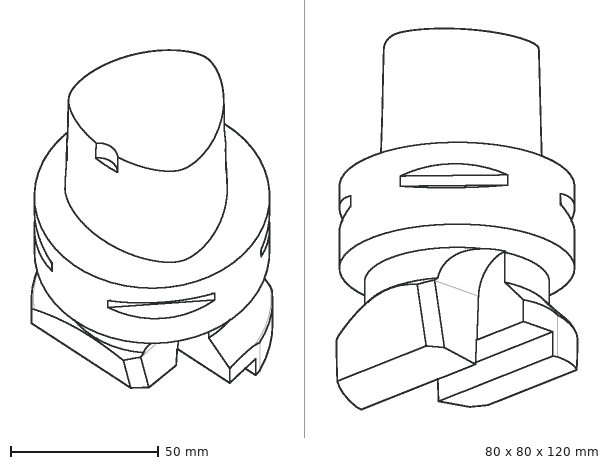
import cadquery as cq
import math

total_height = 120.0
flange_top = 72.0
flange_bottom = 42.0
neck_top = 37.0
neck_bottom = 26.0
cutter_shoulder = 16.9
cutter_rim = 15.7

flange_radius = 80.0 / 2
neck_radius = 31.5
shoulder_radius = 40.5
cutter_radius = 41.0

shank_mean_radius = 27.6
shank_lobe = 2.3
shank_taper = 1 / 40
outline_steps = 48
notch_radius = 6.6
notch_centre = 28.5
notch_depth = 8.0

groove_z = 59.8
groove_length = 36.5
groove_floor_height = 3.7
groove_flare_angle = 30.0
groove_overlap = 1.2

side_face_offset = 25.5
side_face_angle = 13.9
corner_chamfer = 4.3
end_face_angle = 7.9
slot_width = 13.9
slot_depth = 8.9
gullet_face = 6.7
gullet_wall = 16.5
gullet_wall_angle = 2.8
gullet_top = 37.2
gullet_radius = 13.1

corner_overlap = 6.0
clearance = 72.0


def make_body():
    """Flange, neck and flared cutting end, trimmed flat at the two tooth tips."""
    profile = [
        (0, 0),
        (cutter_radius, 0),
        (cutter_radius, cutter_rim),
        (shoulder_radius, cutter_shoulder),
        (neck_radius, neck_bottom),
        (neck_radius, neck_top),
        (flange_radius, flange_bottom),
        (flange_radius, flange_top),
        (0, flange_top),
    ]
    body = cq.Workplane("XZ").polyline(profile).close().revolve(360, (0, 0), (0, 1))
    trim = cq.Workplane("XY").box(2 * flange_radius, 2 * clearance, flange_top, centered=(True, True, False))
    return body.intersect(trim)


def shank_outline(mean_radius):
    """Return points on a rounded triangle with one lobe toward +Y."""
    points = []
    for step in range(outline_steps):
        angle = 2 * math.pi * step / outline_steps
        x = (mean_radius * math.sin(angle)
             - 2 * shank_lobe * math.sin(2 * angle)
             - shank_lobe * math.sin(4 * angle))
        y = (mean_radius * math.cos(angle)
             + 2 * shank_lobe * math.cos(2 * angle)
             - shank_lobe * math.cos(4 * angle))
        points.append((x, y))
    return points


def make_shank():
    """Tapered three-lobed shank with a rounded locating notch at its end."""
    length = total_height - flange_top
    top_radius = shank_mean_radius - length * shank_taper
    shank = (
        cq.Workplane("XY", origin=(0, 0, flange_top))
        .spline(shank_outline(shank_mean_radius), periodic=True)
        .close()
        .workplane(offset=length)
        .spline(shank_outline(top_radius), periodic=True)
        .close()
        .loft(ruled=True)
    )
    notch = (
        cq.Workplane("XY", origin=(0, -notch_centre, total_height - notch_depth))
        .circle(notch_radius)
        .extrude(notch_depth)
    )
    return shank.cut(notch)


def gripper_groove():
    """Straight V-sided groove lying across the +X side of the flange."""
    half_length = groove_length / 2
    floor_x = math.sqrt(flange_radius**2 - half_length**2)
    mouth_x = flange_radius + groove_overlap
    half_floor = groove_floor_height / 2
    half_mouth = half_floor + (mouth_x - floor_x) * math.tan(math.radians(groove_flare_angle))
    section = [
        (floor_x, groove_z - half_floor),
        (mouth_x, groove_z - half_mouth),
        (mouth_x, groove_z + half_mouth),
        (floor_x, groove_z + half_floor),
    ]
    return cq.Workplane("XZ").polyline(section).close().extrude(half_length, both=True)


def side_face_cut():
    """Waste outside the inclined face on the -Y side."""
    top_y = side_face_offset + neck_bottom * math.tan(math.radians(side_face_angle))
    section = [(-side_face_offset, 0), (-clearance, 0), (-clearance, neck_bottom), (-top_y, neck_bottom)]
    return cq.Workplane("YZ").polyline(section).close().extrude(clearance, both=True)


def corner_cut():
    """Waste outside the 45 degree bevel between the side face and the gullet."""
    def triangle(z):
        x = gullet_wall + z * math.tan(math.radians(gullet_wall_angle))
        y = -side_face_offset - z * math.tan(math.radians(side_face_angle))
        return [
            (x - corner_chamfer - clearance, y - clearance),
            (x + corner_overlap, y - clearance),
            (x + corner_overlap, y + corner_chamfer + corner_overlap),
        ]

    return (
        cq.Workplane("XY")
        .polyline(triangle(0))
        .close()
        .workplane(offset=neck_bottom)
        .polyline(triangle(neck_bottom))
        .close()
        .loft(ruled=True)
    )


def end_face_cut():
    """Waste below the end face, which rises from the slot toward -Y."""
    start = slot_width / 2
    rise = (clearance - start) * math.tan(math.radians(end_face_angle))
    section = [(-start, 0), (-clearance, 0), (-clearance, rise)]
    return cq.Workplane("YZ").polyline(section).close().extrude(clearance, both=True)


def gullet_cut():
    """Chip gullet in front of the +X tooth, with a rounded upper corner."""
    wall_angle = math.radians(gullet_wall_angle)
    arc_z = gullet_top - gullet_radius
    tangent_z = arc_z + gullet_radius * math.sin(wall_angle)
    tangent_x = gullet_wall + tangent_z * math.tan(wall_angle)
    centre_x = tangent_x + gullet_radius * math.cos(wall_angle)
    diagonal = gullet_radius * math.sqrt(0.5)
    return (
        cq.Workplane("XZ", origin=(0, -gullet_face, 0))
        .moveTo(gullet_wall, 0)
        .lineTo(tangent_x, tangent_z)
        .threePointArc((centre_x - diagonal, arc_z + diagonal), (centre_x, gullet_top))
        .lineTo(clearance, gullet_top)
        .lineTo(clearance, 0)
        .close()
        .extrude(clearance)
    )


body = make_body()

for angle in (45, 135, 225, 315):
    body = body.cut(gripper_groove().rotate((0, 0, 0), (0, 0, 1), angle))

for angle in (0, 180):
    for waste in (side_face_cut(), corner_cut(), end_face_cut(), gullet_cut()):
        body = body.cut(waste.rotate((0, 0, 0), (0, 0, 1), angle))

slot = cq.Workplane("XY").box(2 * clearance, slot_width, slot_depth, centered=(True, True, False))
result = body.cut(slot).union(make_shank())